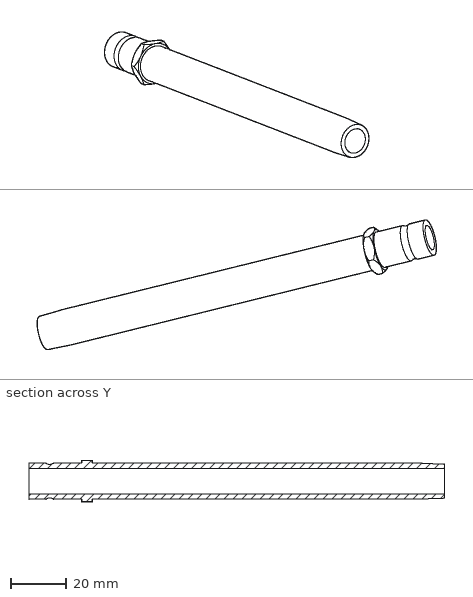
import cadquery as cq
import math

length = 150.0
tube_radius = 6.6
bore_radius = 4.5

groove_centre = 7.5
groove_width = 2.7
groove_depth = 0.5

hex_sides = 6
hex_start = 19.0
hex_thickness = 3.9
hex_across_flats = 15.0
hex_chamfer_angle = 42.0

taper_length = 8.8
taper_drop = 0.33
end_chamfer_length = 0.5
end_chamfer_drop = 0.2


def tube():
    """Grooved and tapered outer surface, turned about X."""
    groove_start = groove_centre - groove_width / 2
    groove_end = groove_centre + groove_width / 2
    groove_bottom = (groove_centre, tube_radius - groove_depth)
    taper_end_radius = tube_radius - taper_drop
    profile = (
        cq.Workplane("XY")
        .moveTo(0, bore_radius)
        .lineTo(0, tube_radius)
        .lineTo(groove_start, tube_radius)
        .threePointArc(groove_bottom, (groove_end, tube_radius))
        .lineTo(length - taper_length, tube_radius)
        .lineTo(length - end_chamfer_length, taper_end_radius)
        .lineTo(length, taper_end_radius - end_chamfer_drop)
        .lineTo(length, bore_radius)
        .close()
    )
    return profile.revolve(360, (0, 0, 0), (1, 0, 0))


def hex_collar():
    """Hexagon with corners along Y, its corners turned down on both faces."""
    flat_radius = hex_across_flats / 2
    corner_radius = flat_radius / math.cos(math.pi / hex_sides)
    chamfer_run = (corner_radius - flat_radius) * math.tan(math.radians(hex_chamfer_angle))
    hex_end = hex_start + hex_thickness
    prism = (
        cq.Workplane("YZ", origin=(hex_start, 0, 0))
        .polygon(hex_sides, 2 * corner_radius)
        .circle(bore_radius)
        .extrude(hex_thickness)
    )
    turned_envelope = (
        cq.Workplane("XY")
        .moveTo(hex_start, 0)
        .lineTo(hex_start, flat_radius)
        .lineTo(hex_start + chamfer_run, corner_radius)
        .lineTo(hex_end - chamfer_run, corner_radius)
        .lineTo(hex_end, flat_radius)
        .lineTo(hex_end, 0)
        .close()
        .revolve(360, (0, 0, 0), (1, 0, 0))
    )
    return prism.intersect(turned_envelope)


result = tube().union(hex_collar())